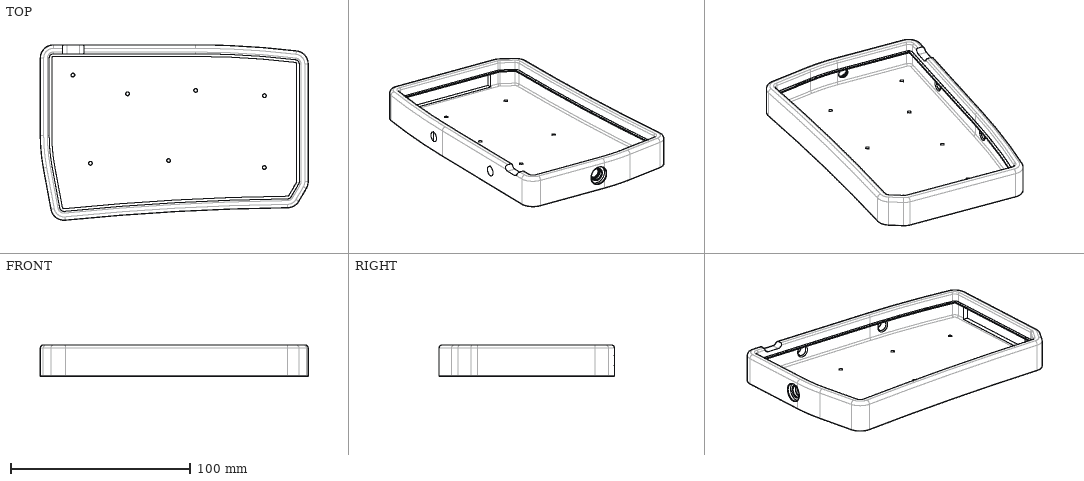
import cadquery as cq
import math

LENGTH = 149.4
DEPTH = 97.9
HEIGHT = 17.6
CORNER_RADIUS = 7.5
RIM_RADIUS = 2.0
BASE_RADIUS = 0.5

BACK_ARC_START_X = 86.7
BACK_ARC_RADIUS = 470.6

CUT_CORNER_Y = 19.5
FRONT_RIGHT = (142.1, 7.0)

FRONT_MIDDLE = (71.7, 4.6)
FRONT_LEFT_Y = -0.65

LEFT_ARC_START_Y = 47.4
LEFT_ARC_RADIUS = 100.1
LEFT_SLANT = math.radians(10.5)

RIM_FLAT = 2.1
LIP_RADIUS = 0.97
WALL = RIM_RADIUS + RIM_FLAT + LIP_RADIUS
FLOOR = 3.0
FLOOR_RADIUS = 1.0

RIB_WIDTH = 1.5
RIB_TOP = 12.4
RIB_THICKNESS = 0.6

RECESS_DEPTH = 2.5
RECESS_FRONT_Y = 26.6
RECESS_BACK_Y = 82.2
RECESS_SILL = 0.5

NOTCH_X = 18.4
NOTCH_WIDTH = 12.0
NOTCH_DEPTH = 2.5
NOTCH_RADIUS = 2.5

SEAT_DIAMETER = 10.0
SEAT_DEPTH = 2.0
SEAT_CHAMFER = 0.3
STEP_DIAMETER = 6.4
STEP_DEPTH = 2.0
STEP_CHAMFER = 0.5
BORE_DIAMETER = 5.5
WALL_HOLE_Z = HEIGHT / 2
JACK_Y = 51.1

BACK_HOLE_DIAMETER = 5.5
BACK_HOLE_MOUTH_DIAMETER = 6.9
BACK_HOLE_XS = (39.0, 95.5)

FLOOR_HOLE_DIAMETER = 2.0
FLOOR_HOLES = [
    (18.2, 81.0), (48.7, 70.5), (86.7, 72.5), (124.9, 69.5),
    (28.0, 31.8), (71.5, 33.3), (124.9, 29.5),
]


def back_y(x):
    """Y of the outer back edge, straight first and then falling on an arc."""
    run = max(0.0, x - BACK_ARC_START_X)
    return DEPTH - BACK_ARC_RADIUS + math.sqrt(BACK_ARC_RADIUS ** 2 - run ** 2)


def left_arc_point(angle):
    return (LEFT_ARC_RADIUS * (1 - math.cos(angle)),
            LEFT_ARC_START_Y - LEFT_ARC_RADIUS * math.sin(angle))


def make_block():
    """Solid block on the outer outline, with only its upright corners rounded."""
    slant_x, slant_y = left_arc_point(LEFT_SLANT)
    front_left = (slant_x + (slant_y - FRONT_LEFT_Y) * math.tan(LEFT_SLANT), FRONT_LEFT_Y)
    back_right = (LENGTH, back_y(LENGTH))
    back_arc_middle_x = (BACK_ARC_START_X + LENGTH) / 2
    back_left = (0.0, DEPTH)
    cut_corner = (LENGTH, CUT_CORNER_Y)
    block = (
        cq.Workplane("XY")
        .moveTo(*back_left)
        .lineTo(BACK_ARC_START_X, DEPTH)
        .threePointArc((back_arc_middle_x, back_y(back_arc_middle_x)), back_right)
        .lineTo(*cut_corner)
        .lineTo(*FRONT_RIGHT)
        .threePointArc(FRONT_MIDDLE, front_left)
        .lineTo(slant_x, slant_y)
        .threePointArc(left_arc_point(LEFT_SLANT / 2), (0.0, LEFT_ARC_START_Y))
        .close()
        .extrude(HEIGHT)
    )
    for x, y in (back_left, back_right, cut_corner, FRONT_RIGHT, front_left):
        corner = cq.selectors.NearestToPointSelector((x, y, HEIGHT / 2))
        block = block.edges(corner).fillet(CORNER_RADIUS)
    return block


def inset_prism(block, inset, bottom, top):
    """Upright prism on the block's outline moved inwards."""
    outline = block.faces("<Z").wires().val().translate(cq.Vector(0, 0, bottom))
    inner = outline.offset2D(-inset)[0]
    return cq.Workplane(cq.Solid.extrudeLinear(inner, [], cq.Vector(0, 0, top - bottom)))


def make_shell(block):
    shell = block.faces(">Z").edges().fillet(RIM_RADIUS)
    shell = shell.faces("<Z").edges().fillet(BASE_RADIUS)
    cavity = inset_prism(block, WALL, FLOOR, HEIGHT).faces("<Z").edges().fillet(FLOOR_RADIUS)
    shell = shell.cut(cavity)
    wall_top_edges = shell.faces(">Z").wires().vals()
    lip = min(wall_top_edges, key=lambda wire: wire.BoundingBox().DiagonalLength)
    return shell.newObject(lip.Edges()).fillet(LIP_RADIUS)


def make_rib(block):
    rib_bottom = RIB_TOP - RIB_THICKNESS
    ring = inset_prism(block, WALL - RIB_WIDTH / 2, rib_bottom, RIB_TOP)
    return ring.cut(inset_prism(block, WALL + RIB_WIDTH, rib_bottom, RIB_TOP))


def make_recess():
    bottom = FLOOR + RECESS_SILL
    top = RIB_TOP - RIB_THICKNESS
    inner_x = LENGTH - WALL - RIB_WIDTH
    outer_x = LENGTH - WALL + RECESS_DEPTH
    return cq.Workplane("XY").box(
        outer_x - inner_x, RECESS_BACK_Y - RECESS_FRONT_Y, top - bottom, centered=False
    ).translate((inner_x, RECESS_FRONT_Y, bottom))


def make_notch():
    """Round-bottomed notch, open upwards and through the back wall."""
    return (
        cq.Workplane("XY")
        .box(NOTCH_WIDTH, WALL, HEIGHT, centered=(True, False, False))
        .edges("<Z and |Y")
        .fillet(NOTCH_RADIUS)
        .translate((NOTCH_X, DEPTH - WALL, HEIGHT - NOTCH_DEPTH))
    )


def make_jack_hole():
    """Stepped hole along +X, with its mouth at the origin."""
    seat_radius = SEAT_DIAMETER / 2
    step_radius = STEP_DIAMETER / 2
    bore_radius = BORE_DIAMETER / 2
    step_end = SEAT_DEPTH + STEP_DEPTH
    hole_end = WALL + RIB_WIDTH
    return (
        cq.Workplane("XY")
        .polyline([
            (-BASE_RADIUS, 0),
            (-BASE_RADIUS, seat_radius + SEAT_CHAMFER),
            (0, seat_radius + SEAT_CHAMFER),
            (SEAT_CHAMFER, seat_radius),
            (SEAT_DEPTH, seat_radius),
            (SEAT_DEPTH, step_radius + STEP_CHAMFER),
            (SEAT_DEPTH + STEP_CHAMFER, step_radius),
            (step_end, step_radius),
            (step_end, bore_radius),
            (hole_end, bore_radius),
            (hole_end, 0),
        ])
        .close()
        .revolve(360, (0, 0, 0), (1, 0, 0))
    )


def make_back_hole():
    """Hole along -Y through the wall, with its outer end at the origin."""
    hole_radius = BACK_HOLE_DIAMETER / 2
    mouth_radius = BACK_HOLE_MOUTH_DIAMETER / 2
    chamfer = mouth_radius - hole_radius
    hole_end = WALL + RIB_WIDTH
    return (
        cq.Workplane("XY")
        .polyline([
            (0, 0),
            (hole_radius, 0),
            (hole_radius, chamfer - WALL),
            (mouth_radius, -WALL),
            (mouth_radius, -hole_end),
            (0, -hole_end),
        ])
        .close()
        .revolve(360, (0, 0, 0), (0, 1, 0))
    )


block = make_block()
shell = make_shell(block).cut(make_recess())
shell = shell.cut(make_jack_hole().translate((0, JACK_Y, WALL_HOLE_Z)))
for hole_x in BACK_HOLE_XS:
    shell = shell.cut(make_back_hole().translate((hole_x, back_y(hole_x), WALL_HOLE_Z)))

floor_holes = (
    cq.Workplane("XY").pushPoints(FLOOR_HOLES).circle(FLOOR_HOLE_DIAMETER / 2).extrude(FLOOR)
)
result = shell.cut(floor_holes).cut(make_notch()).union(make_rib(block))